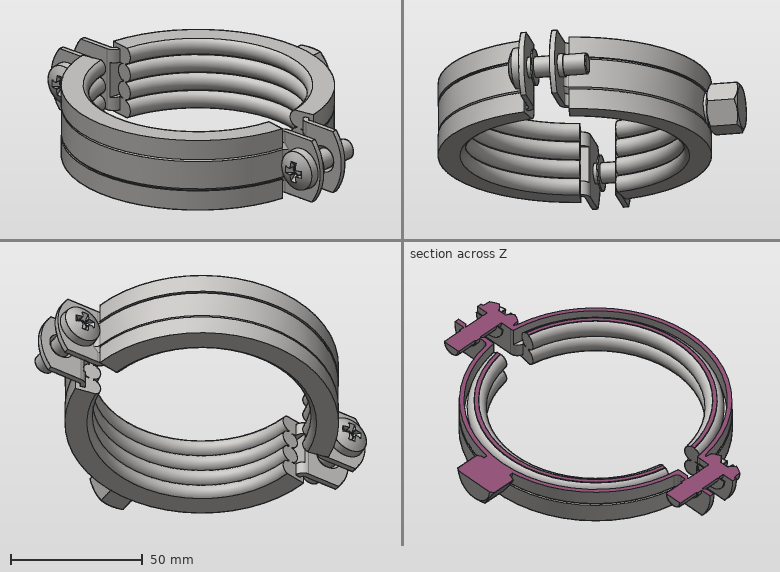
import cadquery as cq
import math


ring_radius = 52.0
ring_width = 29.0
web_inner_radius = 44.5
web_outer_radius = 46.2
lip_half_gap = 6.5
bead_radius = 7.3 / 2
bead_pitch = 7.5
bead_count = 4
bore_radius = 41.5

steel = 2.1
band_radius = 50.1
band_width = 25.4
bend_radius = 1.7
half_gap = 5.0
ear_top = half_gap + steel
ear_tip = 69.0
ear_tip_bulge = 4.4

rib_radius = 51.9
rib_bend_radius = 2.0
rib_top_half = 5.7
rib_base_half = 7.9
pocket_radius = 50.0
pocket_half = 7.2

screw_x = 59.9
shank_diameter = 8.0
shank_end = 18.0
shank_chamfer = 0.4
collar_diameter = 9.0
collar_height = 2.1
lead_in_diameter = 10.5
lead_in_depth = 1.2
head_diameter = 16.1
head_rim_diameter = 15.5
head_rim_height = 3.2
head_dome_height = 2.5
washer_diameter = 14.0
washer_thickness = 0.5
washer_y = -2.6
recess_span = 9.7
recess_arm = 2.6
recess_tip = 2.8
recess_floor = 4.0
recess_depth = 3.3

nut_flats = 17.1
nut_bottom = 52.9
nut_top = 65.0
nut_face_diameter = 16.4
nut_chamfer_slope = math.tan(math.radians(30))
boss_diameter = 14.0
boss_start = 50.5


def bend_center(radius, bend):
    """Centre of the bend that touches both the ear's top face and the given ring radius."""
    y = ear_top + bend
    return math.sqrt((radius + bend) ** 2 - y**2), y


bend_x, bend_y = bend_center(band_radius, bend_radius)
end_angle = math.degrees(math.atan2(bend_y, bend_x))


def band_outline(z, radius, bend):
    """Ear, bend, half ring, bend and ear as one closed outline at height z."""
    inner = band_radius - steel
    outer_bend = bend_radius + steel
    plate_angle = math.radians(end_angle)
    center_x, center_y = bend_center(radius, bend)
    angle = math.atan2(center_y, center_x)

    def bend_middle(x, y, r, tangent_angle):
        middle = (math.pi + tangent_angle + 1.5 * math.pi) / 2
        return x + r * math.cos(middle), y + r * math.sin(middle)

    def at(r, a):
        return r * math.cos(a), r * math.sin(a)

    def flip(point):
        return -point[0], point[1]

    top_middle = bend_middle(center_x, center_y, bend, angle)
    low_middle = bend_middle(bend_x, bend_y, outer_bend, plate_angle)
    top_end = at(radius, angle)
    low_end = at(inner, plate_angle)
    return (
        cq.Workplane("XY", origin=(0, 0, z))
        .moveTo(ear_tip, half_gap)
        .lineTo(ear_tip, ear_top)
        .lineTo(center_x, ear_top)
        .threePointArc(top_middle, top_end)
        .threePointArc((0, radius), flip(top_end))
        .threePointArc(flip(top_middle), (-center_x, ear_top))
        .lineTo(-ear_tip, ear_top)
        .lineTo(-ear_tip, half_gap)
        .lineTo(-bend_x, half_gap)
        .threePointArc(flip(low_middle), flip(low_end))
        .threePointArc((0, inner), low_end)
        .threePointArc(low_middle, (bend_x, half_gap))
        .close()
        .wire()
        .val()
    )


def prism(lower, upper):
    """Solid with straight sides between two outlines."""
    return cq.Workplane(cq.Solid.makeLoft([lower, upper], True))


def ring(inner, outer, width):
    """Flat ring about Z, centred on Z = 0."""
    return cq.Workplane("XY").circle(outer).circle(inner).extrude(width / 2, both=True)


def steel_band():
    """Plate with its stamped rib, the pocket behind the rib and rounded ear tips."""
    plate = prism(
        band_outline(-band_width / 2, band_radius, bend_radius),
        band_outline(band_width / 2, band_radius, bend_radius),
    )
    rib_top = [band_outline(z, rib_radius, rib_bend_radius) for z in (-rib_top_half, rib_top_half)]
    rib_base = [band_outline(z, band_radius, bend_radius) for z in (-rib_base_half, rib_base_half)]
    band = plate.union(prism(*rib_top))
    band = band.union(prism(rib_base[0], rib_top[0]))
    band = band.union(prism(rib_top[1], rib_base[1]))
    band = band.cut(ring(web_outer_radius, pocket_radius, 2 * pocket_half))
    corner = ear_tip - ear_tip_bulge
    ear_limits = (
        cq.Workplane("XZ")
        .moveTo(-corner, -band_width / 2)
        .lineTo(corner, -band_width / 2)
        .threePointArc((ear_tip, 0), (corner, band_width / 2))
        .lineTo(-corner, band_width / 2)
        .threePointArc((-ear_tip, 0), (-corner, -band_width / 2))
        .close()
        .extrude(-ear_tip)
    )
    return band.intersect(ear_limits)


def sweep_half(section):
    """Revolve a section drawn at +X about Z, from one end of a half lining to the other."""
    swept = section.revolve(180 - 2 * end_angle, (0, 0, 0), (0, 1, 0))
    return swept.rotate((0, 0, 0), (0, 0, 1), end_angle)


def rubber_lining():
    """Channel that wraps the edges of the band, with round beads along the bore."""
    half_width = ring_width / 2
    channel = (
        cq.Workplane("XZ")
        .moveTo(web_inner_radius, -half_width)
        .lineTo(ring_radius, -half_width)
        .lineTo(ring_radius, -lip_half_gap)
        .lineTo(band_radius, -lip_half_gap)
        .lineTo(band_radius, -pocket_half)
        .lineTo(web_outer_radius, -pocket_half)
        .lineTo(web_outer_radius, pocket_half)
        .lineTo(band_radius, pocket_half)
        .lineTo(band_radius, lip_half_gap)
        .lineTo(ring_radius, lip_half_gap)
        .lineTo(ring_radius, half_width)
        .lineTo(web_inner_radius, half_width)
        .close()
    )
    lining = sweep_half(channel)
    for index in range(bead_count):
        z = (index - (bead_count - 1) / 2) * bead_pitch
        bead = cq.Workplane("XZ").moveTo(bore_radius + bead_radius, z).circle(bead_radius)
        lining = lining.union(sweep_half(bead))
    slab = cq.Workplane("XY").box(2 * ear_tip, 2 * ear_tip, ring_width)
    return lining.intersect(slab)


def rod(diameter, start, end):
    """Round bar along Y."""
    return cq.Workplane("XZ", origin=(0, start, 0)).circle(diameter / 2).extrude(start - end)


def cross_recess(face_y):
    """Phillips recess that narrows toward its round floor."""
    floor_y = face_y + recess_depth
    pyramid = (
        cq.Workplane("XZ", origin=(0, face_y, 0))
        .rect(recess_span, recess_span)
        .workplane(offset=-recess_depth)
        .rect(recess_tip, recess_tip)
        .loft()
    )
    arms = cq.Workplane("XZ", origin=(0, face_y, 0)).rect(recess_span, recess_arm).extrude(-recess_depth)
    arms = arms.union(arms.rotate((0, 0, 0), (0, 1, 0), 90))
    return arms.intersect(pyramid).union(rod(recess_floor, face_y, floor_y))


def screw():
    """Pan-head screw along Y with its washer and the threaded collar of the upper ear."""
    head_seat = -ear_top
    rim_y = head_seat - head_rim_height
    head_face = rim_y - head_dome_height
    rim_radius = head_rim_diameter / 2
    dome_radius = (rim_radius**2 + head_dome_height**2) / (2 * head_dome_height)
    dome_half_angle = math.asin(rim_radius / dome_radius) / 2
    dome_middle = (
        dome_radius * math.sin(dome_half_angle),
        head_face + dome_radius * (1 - math.cos(dome_half_angle)),
    )
    head = (
        cq.Workplane("XY")
        .moveTo(0, head_seat)
        .lineTo(head_diameter / 2, head_seat)
        .lineTo(rim_radius, rim_y)
        .threePointArc(dome_middle, (0, head_face))
        .close()
        .revolve(360, (0, 0, 0), (0, 1, 0))
    )
    shank = rod(shank_diameter, head_seat, shank_end).faces(">Y").chamfer(shank_chamfer)
    collar = rod(collar_diameter, ear_top, ear_top + collar_height)
    washer = rod(washer_diameter, washer_y - washer_thickness / 2, washer_y + washer_thickness / 2)
    return head.cut(cross_recess(head_face)).union(shank).union(collar).union(washer)


def weld_nut():
    """Hexagon with both ends turned to a 30 degree chamfer, on a round boss."""
    corner_radius = nut_flats / math.sqrt(3)
    face_radius = nut_face_diameter / 2
    drop = (corner_radius - face_radius) * nut_chamfer_slope
    hexagon = (
        cq.Workplane("XZ", origin=(0, nut_bottom, 0))
        .polygon(6, 2 * corner_radius)
        .extrude(nut_bottom - nut_top)
    )
    turned = (
        cq.Workplane("XY")
        .polyline(
            [
                (0, nut_bottom),
                (face_radius, nut_bottom),
                (corner_radius, nut_bottom + drop),
                (corner_radius, nut_top - drop),
                (face_radius, nut_top),
                (0, nut_top),
            ]
        )
        .close()
        .revolve(360, (0, 0, 0), (0, 1, 0))
    )
    return hexagon.intersect(turned).union(rod(boss_diameter, boss_start, nut_bottom))


def collar_lead_in():
    """Conical entry around the screw in the inner face of the upper ear."""
    return (
        cq.Workplane("XZ", origin=(0, half_gap, 0))
        .circle(lead_in_diameter / 2)
        .workplane(offset=-lead_in_depth)
        .circle(shank_diameter / 2)
        .loft()
    )


half_clamp = steel_band().union(rubber_lining())
result = half_clamp.union(half_clamp.mirror("XZ")).union(weld_nut())
for side in (-1, 1):
    offset = (side * screw_x, 0, 0)
    result = result.cut(collar_lead_in().translate(offset)).union(screw().translate(offset))